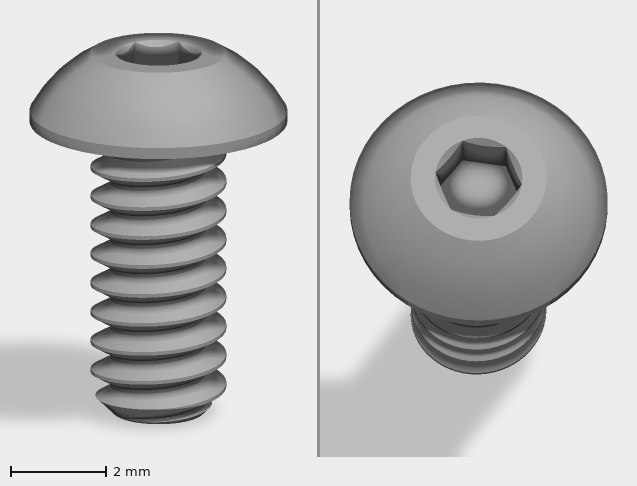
import cadquery as cq
import math

INCH = 25.4

head_diameter = 0.213 * INCH
head_height = 0.059 * INCH
head_flat_diameter = 0.112 * INCH
rim_height = 0.24

socket_across_flats = INCH / 16
socket_depth = 1.06
socket_chamfer_angle = 45.0

shank_length = 0.25 * INCH
major_diameter = 0.112 * INCH
pitch = INCH / 40
flank_angle = 30.0
tip_diameter = 1.92
tip_angle = 45.0
first_crest_height = 0.537

head_radius = head_diameter / 2
head_flat_radius = head_flat_diameter / 2
socket_corner_radius = socket_across_flats / math.sqrt(3)
major_radius = major_diameter / 2
tip_radius = tip_diameter / 2
thread_flat = pitch / 8
flank_slope = math.tan(math.radians(flank_angle))
thread_depth = (pitch / 2 - thread_flat) / flank_slope
root_radius = major_radius - thread_depth
root_overlap = thread_flat / 2


def make_head():
    """Revolved head: short cylindrical rim under a spherical dome with a flat top."""
    dome_centre = (head_flat_radius**2 + head_height**2 - head_radius**2 - rim_height**2) / (
        2 * (head_height - rim_height)
    )
    dome_radius = math.hypot(head_radius, rim_height - dome_centre)
    middle_height = (rim_height + head_height) / 2
    middle_radius = math.sqrt(dome_radius**2 - (middle_height - dome_centre) ** 2)
    return (
        cq.Workplane("XZ")
        .lineTo(head_radius, 0)
        .lineTo(head_radius, rim_height)
        .threePointArc((middle_radius, middle_height), (head_flat_radius, head_height))
        .lineTo(0, head_height)
        .close()
        .revolve(360, (0, 0), (0, 1))
    )


def make_socket():
    """Hexagonal recess with corners on the Y axis and a conical lead-in at its mouth."""
    hexagon_turn = 30
    hexagon = (
        cq.Workplane("XY", origin=(0, 0, head_height - socket_depth))
        .polygon(6, 2 * socket_corner_radius)
        .extrude(socket_depth)
        .rotate((0, 0, 0), (0, 0, 1), hexagon_turn)
    )
    cone_height = socket_corner_radius / math.tan(math.radians(socket_chamfer_angle))
    mouth = cq.Vector(0, 0, head_height)
    downward = cq.Vector(0, 0, -1)
    lead_in = cq.Solid.makeCone(socket_corner_radius, 0, cone_height, pnt=mouth, dir=downward)
    return hexagon.union(cq.Workplane(lead_in))


def make_thread_ridge():
    """Helical ridge of trapezoidal section, running past both ends of the shank."""
    overrun_turns = 2
    helix_start = first_crest_height - shank_length - overrun_turns * pitch
    turns = math.ceil(shank_length / pitch) + overrun_turns + 1
    base_radius = root_radius - root_overlap
    crest_half = thread_flat / 2
    base_half = crest_half + (major_radius - base_radius) * flank_slope
    helix = cq.Wire.makeHelix(pitch, turns * pitch, root_radius, center=cq.Vector(0, 0, helix_start))
    return (
        cq.Workplane("XZ", origin=(0, 0, helix_start))
        .moveTo(base_radius, -base_half)
        .lineTo(major_radius, -crest_half)
        .lineTo(major_radius, crest_half)
        .lineTo(base_radius, base_half)
        .close()
        .sweep(cq.Workplane(helix), isFrenet=True)
    )


def make_shank_envelope():
    """Space the shank may fill: a cylinder with a chamfered tip, reaching into the head."""
    clear_radius = major_radius + pitch
    buried_height = rim_height / 2
    clear_height = (clear_radius - tip_radius) / math.tan(math.radians(tip_angle))
    return (
        cq.Workplane("XZ")
        .moveTo(0, -shank_length)
        .lineTo(tip_radius, -shank_length)
        .lineTo(clear_radius, clear_height - shank_length)
        .lineTo(clear_radius, buried_height)
        .lineTo(0, buried_height)
        .close()
        .revolve(360, (0, 0), (0, 1))
    )


def make_shank():
    """Threaded core trimmed to its length and chamfered at the tip."""
    overrun = 4 * pitch
    core = (
        cq.Workplane("XY", origin=(0, 0, -shank_length - overrun))
        .circle(root_radius)
        .extrude(shank_length + 2 * overrun)
    )
    return core.union(make_thread_ridge()).intersect(make_shank_envelope())


result = make_head().union(make_shank()).cut(make_socket())